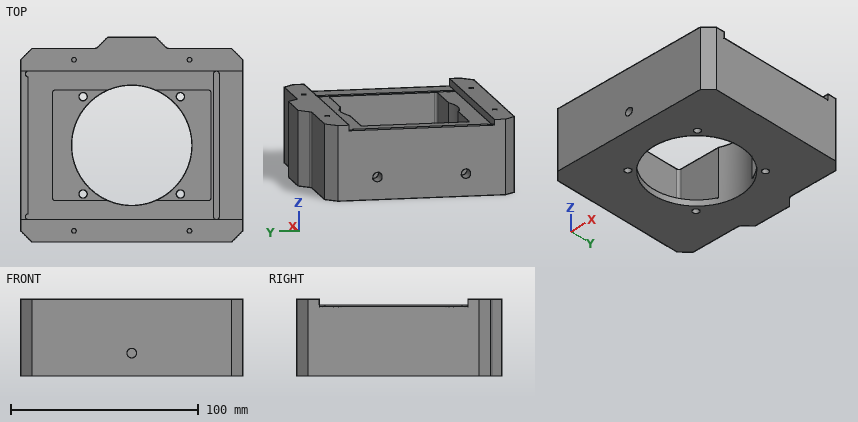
import cadquery as cq

length = 118.2
body_width = 103.1
height = 41.0
corner_chamfer = 6.0

tab_reach = 6.0
tab_half_width = 12.8
tab_root_radius = 3.0

rail_width = 12.0
channel_width = body_width - 2 * rail_width
channel_depth = 3.1
channel_floor = height - channel_depth

seat_depth = 1.0
seat_floor = channel_floor - seat_depth
seat_left = -55.1
groove_center = 45.0
relief_width = 3.1
relief_radius = relief_width / 2
groove_depth = 1.0

cavity_length = 84.4
cavity_width = 58.9
cavity_corner_radius = 1.5
cavity_floor = 4.0
bore_diameter = 64.0

flange_hole_diameter = 4.3
flange_hole_spacing = 51.8
rail_hole_diameter = 2.5
rail_hole_spacing = 61.5
rail_hole_depth = 10.0
side_hole_diameter = 5.1
side_hole_spacing = 48.1
side_hole_height = 12.3
side_hole_depth = 10.0


def make_body():
    """Block with chamfered vertical corners and a sloped tab with rounded roots."""
    block = cq.Workplane("XY").box(length, body_width, height, centered=(True, True, False))
    block = block.edges("|Z").chamfer(corner_chamfer)
    back = body_width / 2
    tab_root = tab_half_width + tab_reach
    tab = (
        cq.Workplane("XY")
        .polyline([
            (-tab_root, 0),
            (-tab_root, back),
            (-tab_half_width, back + tab_reach),
            (tab_half_width, back + tab_reach),
            (tab_root, back),
            (tab_root, 0),
        ])
        .close()
        .extrude(height)
    )
    body = block.union(tab)
    for side in (-1, 1):
        root = cq.selectors.NearestToPointSelector((side * tab_root, back, height / 2))
        body = body.edges(root).fillet(tab_root_radius)
    return body


def make_channel():
    """Full-length channel between the two rails."""
    return (
        cq.Workplane("XY", origin=(0, 0, channel_floor))
        .rect(length, channel_width)
        .extrude(channel_depth)
    )


def make_seat():
    """Plate seat running out at +X, with round corner reliefs and a round-ended groove."""
    seat_length = length / 2 - seat_left
    seat = (
        cq.Workplane("XY", origin=(seat_left + seat_length / 2, 0, seat_floor))
        .rect(seat_length, channel_width)
        .extrude(seat_depth)
    )
    relief_y = channel_width / 2 - relief_radius
    reliefs = (
        cq.Workplane("XY", origin=(0, 0, seat_floor))
        .pushPoints([(seat_left, -relief_y), (seat_left, relief_y)])
        .circle(relief_radius)
        .extrude(seat_depth)
    )
    groove = (
        cq.Workplane("XY", origin=(groove_center, 0, seat_floor - groove_depth))
        .slot2D(channel_width, relief_width, 90)
        .extrude(groove_depth + seat_depth)
    )
    return seat.union(reliefs).union(groove)


def make_cavity():
    """Rectangular cavity stopping above the underside, with the lens bore through it."""
    cavity = (
        cq.Workplane("XY", origin=(0, 0, cavity_floor))
        .rect(cavity_length, cavity_width)
        .extrude(height - cavity_floor)
        .edges("|Z")
        .fillet(cavity_corner_radius)
    )
    bore = cq.Workplane("XY").circle(bore_diameter / 2).extrude(height)
    return cavity.union(bore)


def make_vertical_holes():
    """Through holes in the cavity floor and blind holes in the rails."""
    flange_holes = (
        cq.Workplane("XY")
        .rarray(flange_hole_spacing, flange_hole_spacing, 2, 2)
        .circle(flange_hole_diameter / 2)
        .extrude(cavity_floor)
    )
    rail_holes = (
        cq.Workplane("XY", origin=(0, 0, height))
        .rarray(rail_hole_spacing, body_width - rail_width, 2, 2)
        .circle(rail_hole_diameter / 2)
        .extrude(-rail_hole_depth)
    )
    return flange_holes.union(rail_holes)


def make_side_holes():
    """Two blind holes in the -X side and one in the -Y side."""
    left_holes = (
        cq.Workplane("YZ", origin=(-length / 2, 0, side_hole_height))
        .rarray(side_hole_spacing, 1.2, 2, 1)
        .circle(side_hole_diameter / 2)
        .extrude(side_hole_depth)
    )
    front_hole = (
        cq.Workplane("XZ", origin=(0, -body_width / 2, side_hole_height))
        .circle(side_hole_diameter / 2)
        .extrude(-side_hole_depth)
    )
    return left_holes.union(front_hole)


result = (
    make_body()
    .cut(make_channel())
    .cut(make_seat())
    .cut(make_cavity())
    .cut(make_vertical_holes())
    .cut(make_side_holes())
)